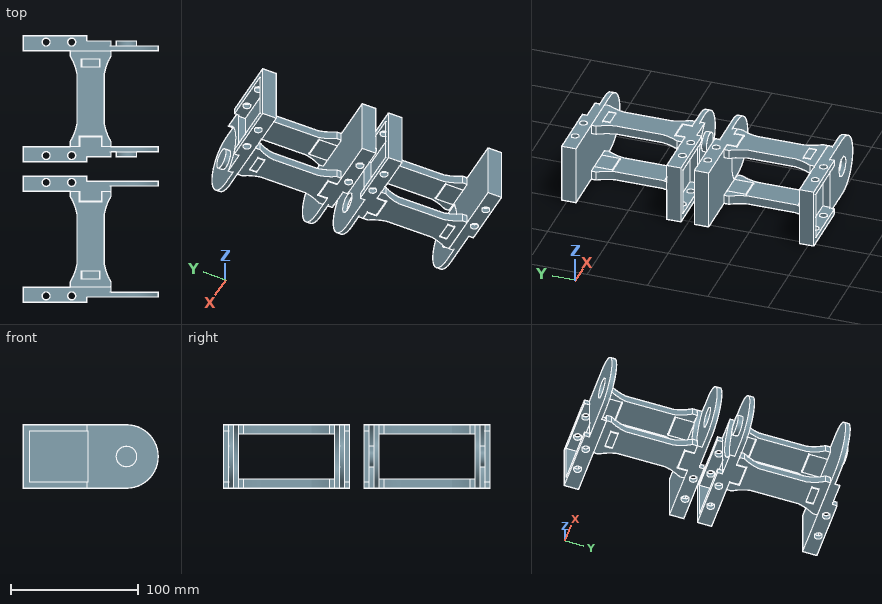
import cadquery as cq
OVERALL_LENGTH = 106.0
OVERALL_WIDTH = 209.0
HEIGHT = 50.0
LINK_GAP = 11.0
LINK_WIDTH = (OVERALL_WIDTH - LINK_GAP) / 2

LAYER = 4.0
PLATE_THICKNESS = 3 * LAYER
BLOCK_LENGTH = 50.0
STEP_X = 69.0
STEP_HOLLOW_DEPTH = 13.4
EAR_RADIUS = HEIGHT / 2
PIVOT_X = OVERALL_LENGTH - EAR_RADIUS
PIVOT_DIAMETER = 16.0

POCKET_WALL = 5.0
POCKET_END_X = 51.0
POCKET_DEPTH = 10.0

WALL_HOLE_DIAMETER = 6.0
WALL_HOLE_XS = (18.0, 38.0)
WALL_HOLE_DEPTH = 5.0

BAR_LENGTH = LINK_WIDTH - 2 * PLATE_THICKNESS
BAR_THICKNESS = 7.5
BAR_END_WIDTH = 32.2
BAR_WAIST_WIDTH = 21.7
BAR_CENTRE_X = STEP_X - BAR_END_WIDTH / 2
BAR_END_FLAT = 4.0
BAR_FLARE_END = 17.8
BAR_FLARE_RADIUS = 39.7
BAR_CHAMFER_LENGTH = 1.3
BAR_CHAMFER_WIDTH = 0.31

CLEARANCE = 0.6
TONGUE_THICKNESS = BAR_THICKNESS / 2
TONGUE_WIDTH = 18.0
HINGE_TONGUE_LENGTH = 15.7
LUG_SLOT_LENGTH = 8.4
SNAP_TONGUE_LENGTH = 15.0
HOOK_START = 6.5
HOOK_LENGTH = 6.0
HOOK_WINDOW_WIDTH = 15.0

BAR_INNER_Z = HEIGHT / 2 - BAR_THICKNESS
TONGUE_TOP_Z = BAR_INNER_Z + TONGUE_THICKNESS
TOP_Z = HEIGHT / 2


def box(x_range, y_range, z_range):
    """Box between two limits along each axis."""
    (x0, x1), (y0, y1), (z0, z1) = x_range, y_range, z_range
    return cq.Workplane("XY").box(x1 - x0, y1 - y0, z1 - z0, centered=False).translate((x0, y0, z0))


def bar_box(width, y_start, length, z_range):
    """Box centred on the crossbar's middle line in X."""
    x_range = (BAR_CENTRE_X - width / 2, BAR_CENTRE_X + width / 2)
    return box(x_range, (y_start, y_start + length), z_range)


def pivot_cylinder(radius, y_start, length):
    """Cylinder about the pivot axis, which runs along Y."""
    axis_plane = cq.Workplane("XZ", origin=(PIVOT_X, y_start, 0))
    return axis_plane.circle(radius).extrude(-length)


def layer_slab(end_x, first_layer, layer_count):
    """Rectangular slab spanning some of the plate's layers."""
    y_start = first_layer * LAYER
    return box((0, end_x), (y_start, y_start + layer_count * LAYER), (-TOP_Z, TOP_Z))


def hollow_step(layer):
    """Layer ending in a concave arc from corner to corner, clear of the neighbouring ear's round end."""
    return (
        cq.Workplane("XZ", origin=(0, layer * LAYER, 0))
        .moveTo(0, -TOP_Z)
        .lineTo(STEP_X, -TOP_Z)
        .threePointArc((STEP_X - STEP_HOLLOW_DEPTH, 0), (STEP_X, TOP_Z))
        .lineTo(0, TOP_Z)
        .close()
        .extrude(-LAYER)
    )


def plain_plate(ear_layer):
    """Side plate without pivot or tongues, outer face at y = 0; layer 1 is the middle one, 2 the inner."""
    ear_y = ear_layer * LAYER
    step = hollow_step(3 - ear_layer)
    ear = layer_slab(PIVOT_X, ear_layer, 1).union(pivot_cylinder(EAR_RADIUS, ear_y, LAYER))
    plate = layer_slab(BLOCK_LENGTH, 0, 3).union(step).union(ear)
    pocket_z = TOP_Z - POCKET_WALL
    pocket = box((POCKET_WALL, POCKET_END_X), (0, POCKET_DEPTH), (-pocket_z, pocket_z))
    wall_holes = (
        cq.Workplane("XY", origin=(0, WALL_HOLE_DEPTH, -TOP_Z))
        .pushPoints([(x, 0) for x in WALL_HOLE_XS])
        .circle(WALL_HOLE_DIAMETER / 2)
        .extrude(HEIGHT)
    )
    return plate.cut(pocket).cut(wall_holes)


def hole_plate():
    """Plate whose ear is the middle layer and has a pivot hole."""
    hole = pivot_cylinder(PIVOT_DIAMETER / 2, LAYER, LAYER)
    return plain_plate(ear_layer=1).cut(hole)


def pin_plate():
    """Plate whose ear is the inner layer and carries a pivot pin pointing outward."""
    pin = pivot_cylinder(PIVOT_DIAMETER / 2, LAYER, LAYER)
    return plain_plate(ear_layer=2).union(pin)


def hinge_tongue():
    """Upper hinge tongue with a shorter lug on top of it, flush with the crossbar."""
    lug_width = TONGUE_WIDTH - 2 * CLEARANCE
    lug_length = LUG_SLOT_LENGTH - CLEARANCE
    tongue = bar_box(TONGUE_WIDTH, PLATE_THICKNESS, HINGE_TONGUE_LENGTH, (BAR_INNER_Z, TONGUE_TOP_Z))
    lug = bar_box(lug_width, PLATE_THICKNESS, lug_length, (TONGUE_TOP_Z, TOP_Z))
    return tongue.union(lug)


def snap_tongue():
    """Upper snap tongue with a hook that fills the crossbar's window lengthwise."""
    hook_width = HOOK_WINDOW_WIDTH - 2 * CLEARANCE
    tongue = bar_box(TONGUE_WIDTH, PLATE_THICKNESS, SNAP_TONGUE_LENGTH, (BAR_INNER_Z, TONGUE_TOP_Z))
    hook = bar_box(hook_width, PLATE_THICKNESS + HOOK_START, HOOK_LENGTH, (TONGUE_TOP_Z, TOP_Z))
    return tongue.union(hook)


def with_tongues(plate, upper_tongue):
    """Plate with a tongue at the top and its mirror image at the bottom, seams kept."""
    return plate.union(upper_tongue, clean=False).union(upper_tongue.mirror("XY"), clean=False)


def crossbar():
    """Upper crossbar with its snap end at y = 0 and its hinge end at y = BAR_LENGTH."""
    half_end = BAR_END_WIDTH / 2
    half_tip = half_end - BAR_CHAMFER_WIDTH
    half_waist = BAR_WAIST_WIDTH / 2
    half_outline = (
        cq.Workplane("XY", origin=(BAR_CENTRE_X, 0, BAR_INNER_Z))
        .lineTo(half_tip, 0)
        .lineTo(half_end, BAR_CHAMFER_LENGTH)
        .lineTo(half_end, BAR_END_FLAT)
        .radiusArc((half_waist, BAR_FLARE_END), BAR_FLARE_RADIUS)
        .lineTo(half_waist, BAR_LENGTH - BAR_FLARE_END)
        .radiusArc((half_end, BAR_LENGTH - BAR_END_FLAT), BAR_FLARE_RADIUS)
        .lineTo(half_end, BAR_LENGTH - BAR_CHAMFER_LENGTH)
        .lineTo(half_tip, BAR_LENGTH)
        .lineTo(0, BAR_LENGTH)
        .mirrorY()
    )
    bar = half_outline.extrude(BAR_THICKNESS)

    tongue_z = (BAR_INNER_Z, TONGUE_TOP_Z)
    opening_z = (TONGUE_TOP_Z, TOP_Z)
    snap_length = SNAP_TONGUE_LENGTH + CLEARANCE
    hinge_length = HINGE_TONGUE_LENGTH + CLEARANCE
    snap_recess = bar_box(TONGUE_WIDTH, 0, snap_length, tongue_z)
    hook_window = bar_box(HOOK_WINDOW_WIDTH, HOOK_START, HOOK_LENGTH, opening_z)
    hinge_recess = bar_box(TONGUE_WIDTH, BAR_LENGTH - hinge_length, hinge_length, tongue_z)
    lug_slot = bar_box(TONGUE_WIDTH, BAR_LENGTH - LUG_SLOT_LENGTH, LUG_SLOT_LENGTH, opening_z)
    return bar.cut(snap_recess).cut(hook_window).cut(hinge_recess).cut(lug_slot)


def link(plate):
    """Four bodies of one link, its snap plate's outer face on the assembly's -Y limit."""
    start_y = -OVERALL_WIDTH / 2
    upper_bar = crossbar().translate((0, start_y + PLATE_THICKNESS, 0))
    return [
        with_tongues(plate, snap_tongue()).translate((0, start_y, 0)),
        with_tongues(plate, hinge_tongue()).mirror("XZ").translate((0, start_y + LINK_WIDTH, 0)),
        upper_bar,
        upper_bar.mirror("XY"),
    ]


front_link = link(hole_plate())
rear_link = [body.mirror("XZ") for body in link(pin_plate())]

result = cq.Compound.makeCompound([body.val() for body in front_link + rear_link])